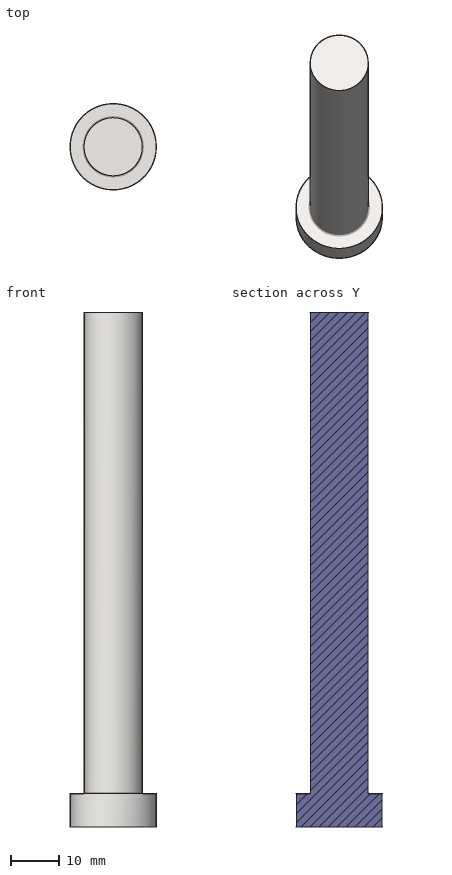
import cadquery as cq

total_length = 107.0
head_diameter = 18.0
head_height = 7.0
shank_diameter = 12.1
neck_fillet_radius = 0.2

head_radius = head_diameter / 2
shank_radius = shank_diameter / 2
fillet_top = head_height + neck_fillet_radius
fillet_outer_radius = shank_radius + neck_fillet_radius

profile = (
    cq.Workplane("XZ")
    .lineTo(head_radius, 0)
    .lineTo(head_radius, head_height)
    .lineTo(fillet_outer_radius, head_height)
    .radiusArc((shank_radius, fillet_top), neck_fillet_radius)
    .lineTo(shank_radius, total_length)
    .lineTo(0, total_length)
    .close()
)

result = profile.revolve(360, (0, 0, 0), (0, 1, 0))